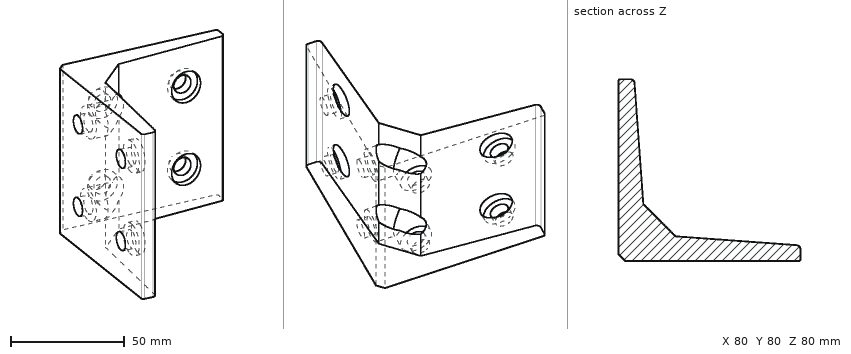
import cadquery as cq

leg_length = 80.0
height = 80.0

leg_tip_thickness = 7.0
leg_root_thickness = 11.0
corner_web_reach = 25.0
outer_corner_chamfer = 3.0
tip_outer_fillet = 1.0
tip_inner_fillet = 2.0

hole_diameter = 8.5
head_recess_diameter = 15.0
seat_thickness = 5.0
hole_spacing = 40.0
hole_center = leg_length / 2
mid_height = height / 2


def make_angle():
    """Extrude the L profile, with tapered legs and a sloping web in the inner corner."""
    profile = [
        (outer_corner_chamfer, 0),
        (leg_length, 0),
        (leg_length, leg_tip_thickness),
        (corner_web_reach, leg_root_thickness),
        (leg_root_thickness, corner_web_reach),
        (leg_tip_thickness, leg_length),
        (0, leg_length),
        (0, outer_corner_chamfer),
    ]
    return cq.Workplane("XY").polyline(profile).close().extrude(height)


def round_leg_tips(body):
    """Round the four upright edges at the ends of the legs."""
    tip_corners = [
        (leg_length, 0, tip_outer_fillet),
        (0, leg_length, tip_outer_fillet),
        (leg_length, leg_tip_thickness, tip_inner_fillet),
        (leg_tip_thickness, leg_length, tip_inner_fillet),
    ]
    for x, y, radius in tip_corners:
        edge = cq.selectors.NearestToPointSelector((x, y, mid_height))
        body = body.edges("|Z").edges(edge).fillet(radius)
    return body


def cylinder_pattern(plane_name, inward, start_depth, diameter):
    """Four cylinders running inward, from start_depth behind an outer face, past the whole part."""
    return (
        cq.Workplane(plane_name)
        .workplane(offset=inward * start_depth)
        .center(hole_center, mid_height)
        .rarray(hole_spacing, hole_spacing, 2, 2)
        .circle(diameter / 2)
        .extrude(inward * leg_length)
    )


def drill_leg(body, plane_name, inward):
    """Cut the bolt holes of one leg and their bolt head recesses on the inner side."""
    body = body.cut(cylinder_pattern(plane_name, inward, 0, hole_diameter))
    return body.cut(cylinder_pattern(plane_name, inward, seat_thickness, head_recess_diameter))


result = round_leg_tips(make_angle())
result = drill_leg(result, "XZ", -1)
result = drill_leg(result, "YZ", 1)